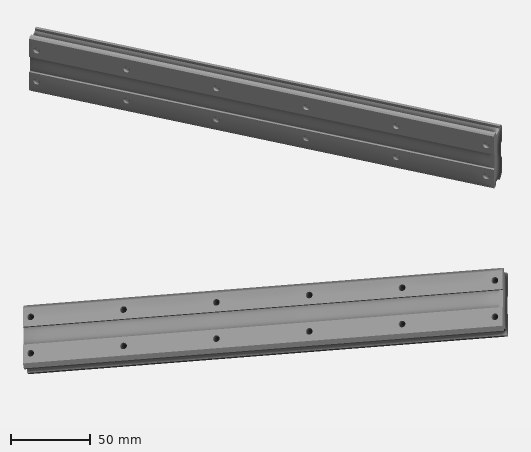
import cadquery as cq

length = 310.0
depth = 15.0
height = 42.0

waist_height = 11.8
waist_recess = 1.5

channel_depth = 2.8
back_chamfer = 2.5
front_chamfer = 1.0
back_lip_y = 3.0
back_wall_drop = 2.0
floor_back_y = 1.2
floor_front_y = -3.0
front_lip_y = -4.0

hole_diameter = 4.3
holes_per_row = 6
hole_end_offset = 5.0
row_spacing = 24.2

half_depth = depth / 2
half_height = height / 2
waist_y = half_depth - waist_recess
waist_z = waist_height / 2
floor_z = half_height - channel_depth

upper_outline = [
    (-waist_y, waist_z),
    (-half_depth, waist_z),
    (-half_depth, half_height - front_chamfer),
    (-half_depth + front_chamfer, half_height),
    (front_lip_y, half_height),
    (floor_front_y, floor_z),
    (floor_back_y, floor_z),
    (back_lip_y, half_height - back_wall_drop),
    (back_lip_y, half_height),
    (half_depth - back_chamfer, half_height),
    (half_depth, half_height - back_chamfer),
    (half_depth, waist_z),
    (waist_y, waist_z),
]
lower_outline = [(y, -z) for y, z in reversed(upper_outline)]

bar = (
    cq.Workplane("YZ")
    .polyline(upper_outline + lower_outline)
    .close()
    .extrude(length / 2, both=True)
)

hole_pitch = (length - 2 * hole_end_offset) / (holes_per_row - 1)
hole_cutters = (
    cq.Workplane("XZ")
    .rarray(hole_pitch, row_spacing, holes_per_row, 2)
    .circle(hole_diameter / 2)
    .extrude(half_depth, both=True)
)

result = bar.cut(hole_cutters)